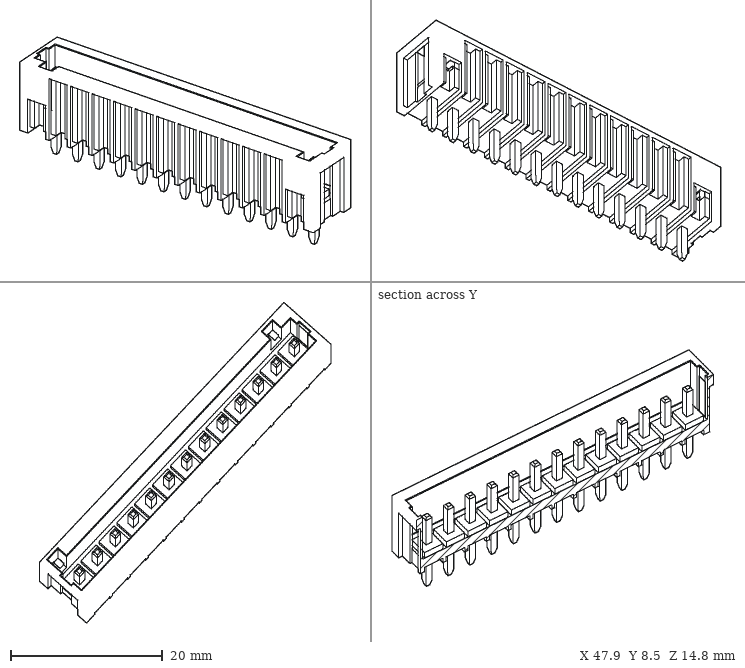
import cadquery as cq
length = 47.9
depth = 8.5
height = 10.35
edge_radius = 0.1
rim_chamfer = 0.1

pin_count = 13
pitch = 3.5
first_pin_from_end = 2.81
pin_y = 0.15
pin_width = 1.0
pin_tip_width = 0.55
overall_height = 14.8
pin_bottom = height - overall_height
pin_bottom_taper = 1.0
pin_top = height - 2.0
pin_top_taper = 0.3

cavity_end_wall = 1.05
floor_from_end = 0.97
cavity_front = -2.12
cavity_back = 2.38
cavity_floor = 2.55
plinth_depth = 0.13
pad_size = 2.95
pad_y = 0.05
pad_top = 3.55

slot_width = 2.95
slot_depth = 0.5
slot_core_width = 1.45
slot_core_depth = 1.6
slot_top = height - 1.0
end_slot_top = height - 5.2
channel_height = 0.8

key_offset = 0.04
key_front_skin = 0.58
key_floor = height - 6.05

end_recess_width = 5.3
end_recess_depth = 0.62
end_recess_top = height - 2.0
end_groove_width = 1.9

front = -depth / 2
end_x = length / 2
first_pin_x = -end_x + first_pin_from_end
pin_xs = [first_pin_x + i * pitch for i in range(pin_count)]
end_pin_xs = (pin_xs[0], pin_xs[-1])
key_width = end_x - cavity_end_wall - pin_xs[-1] - key_offset


def block(x_range, y_range, z_range):
    """Box spanning the given (low, high) ranges."""
    sizes = [high - low for low, high in (x_range, y_range, z_range)]
    corner = (x_range[0], y_range[0], z_range[0])
    return cq.Workplane("XY").box(*sizes, centered=False).translate(corner)


def centred(middle, width):
    """(low, high) range of a width about its middle."""
    return (middle - width / 2, middle + width / 2)


def make_shell():
    """Rounded block with the mating cavity, raised pads and back plinth."""
    shell = block(centred(0, length), centred(0, depth), (0, height)).edges().fillet(edge_radius)
    cavity_x = centred(0, length - 2 * cavity_end_wall)
    cavity = block(cavity_x, (cavity_front, cavity_back), (cavity_floor, height))
    plinth = block(cavity_x, (cavity_back - plinth_depth, cavity_back), (cavity_floor, pad_top))
    shell = shell.cut(cavity).union(plinth)
    for x in pin_xs:
        shell = shell.union(block(centred(x, pad_size), centred(pad_y, pad_size), (cavity_floor, pad_top)))
    return shell


def front_slot(x):
    """Wide shallow slot with a deeper core, open at the underside."""
    top = end_slot_top if x in end_pin_xs else slot_top
    wide = block(centred(x, slot_width), (front, front + slot_depth), (0, top))
    core = block(centred(x, slot_core_width), (front, front + slot_core_depth), (0, top))
    return wide.union(core)


def floor_channel(x):
    """Channel across the underside that leaves ribs between the pins."""
    return block(centred(x, slot_width), centred(0, depth), (0, channel_height))


def key_pocket(x):
    """Pocket from the cavity into the front wall, starting just past a pin's centre."""
    start = x + key_offset
    return block((start, start + key_width), (front + key_front_skin, cavity_front), (key_floor, height))


def end_window(side):
    """Outer recess and inner groove of one end wall; side is -1 or +1."""

    def from_end(near, far):
        """X range between two distances inward from this end."""
        return sorted((side * (end_x - near), side * (end_x - far)))

    recess = block(from_end(0, end_recess_depth), centred(0, end_recess_width), (0, end_recess_top))
    groove_y = centred(0, end_groove_width)
    groove = block(from_end(end_recess_depth, cavity_end_wall), groove_y, (cavity_floor, height))
    floor_gap = block(from_end(end_recess_depth, floor_from_end), groove_y, (0, cavity_floor))
    return recess.union(groove).union(floor_gap)


def pin_taper_end(x, z, taper):
    """Pyramid-shaped pin end from height z, running up (taper > 0) or down (taper < 0)."""
    return (
        cq.Workplane("XY", origin=(x, pin_y, z))
        .rect(pin_width, pin_width)
        .workplane(offset=taper)
        .rect(pin_tip_width, pin_tip_width)
        .loft()
    )


def chamfer_rim(housing):
    """Chamfer the inner edge of the top face, around cavity, pockets and grooves."""
    top_face = housing.faces(">Z").val()
    rim_edges = top_face.innerWires()[0].Edges()
    return housing.newObject([housing.val().chamfer(rim_chamfer, None, rim_edges)])


def make_pin(x):
    """Square pin tapered at both ends."""
    low = pin_bottom + pin_bottom_taper
    high = pin_top - pin_top_taper
    shank = block(centred(x, pin_width), centred(pin_y, pin_width), (low, high))
    tail = pin_taper_end(x, low, -pin_bottom_taper)
    tip = pin_taper_end(x, high, pin_top_taper)
    return shank.union(tail).union(tip)


result = make_shell()
for pin_x in pin_xs:
    result = result.cut(front_slot(pin_x)).cut(floor_channel(pin_x))
for pin_x in end_pin_xs:
    result = result.cut(key_pocket(pin_x))
for end_side in (-1, 1):
    result = result.cut(end_window(end_side))
result = chamfer_rim(result)
for pin_x in pin_xs:
    result = result.union(make_pin(pin_x))